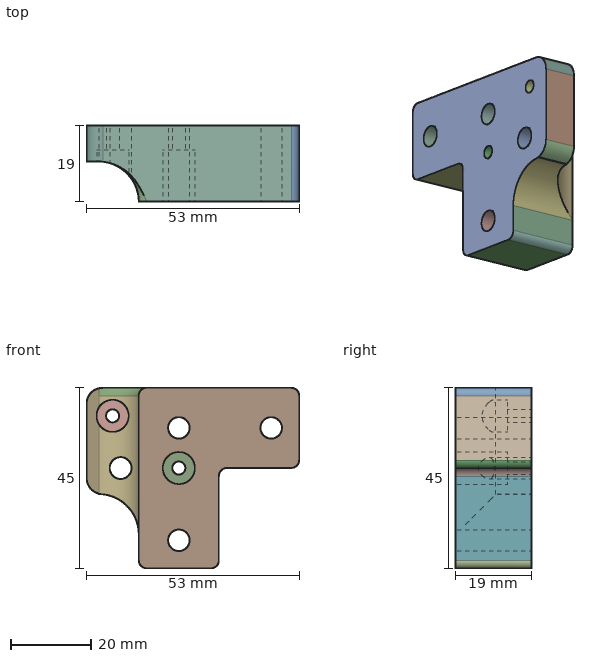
import cadquery as cq
import math


length = 53.0
depth = 19.0
height = 45.0

column_left = 13.0
column_width = 20.0
column_right = column_left + column_width
column_middle = column_left + column_width / 2
arm_height = 20.0
arm_bottom = height - arm_height
body_corner_radius = 2.0

plate_height = 26.5
plate_bottom = height - plate_height
plate_corner_radius = 4.0

blend_radius = 10.0
blend_start = column_left - blend_radius

bolt_row = height - 10.0
body_bolt_diameter = 5.3
body_bolt_centres = [
    (column_middle, bolt_row),
    (46.0, bolt_row),
    (column_middle, 7.0),
]
plate_bolt_diameter = 5.4
plate_bolt_centres = [(8.5, arm_bottom)]

screw_diameter = 3.2
screw_head_diameter = 8.0
screw_floor = 6.0
screw_head_depth = depth - screw_floor
screw_centres = [
    (6.5, height - 7.0),
    (column_middle, arm_bottom),
]

quarter_middle = math.sqrt(0.5)


def make_body():
    """Column and arm with rounded outline corners, full depth."""
    outline = [
        (column_left, 0),
        (column_right, 0),
        (column_right, arm_bottom),
        (length, arm_bottom),
        (length, height),
        (column_left, height),
    ]
    body = cq.Workplane("XZ").polyline(outline).close().extrude(-depth)
    return body.edges("|Y").fillet(body_corner_radius)


def make_plate():
    """Full-depth plate, reaching into the column, with the concave blend below it.

    The lower corner arc is cut short where the blend starts, which leaves a tiny step there.
    """
    radius = plate_corner_radius
    corner_inset = radius * (1 - quarter_middle)
    corner_end_drop = math.sqrt(radius**2 - (radius - blend_start) ** 2)
    corner_end_z = plate_bottom + radius - corner_end_drop
    blend_bottom = plate_bottom - blend_radius
    blend_reach = blend_radius * quarter_middle
    return (
        cq.Workplane("XZ")
        .moveTo(column_right, height)
        .lineTo(radius, height)
        .threePointArc((corner_inset, height - corner_inset), (0, height - radius))
        .lineTo(0, plate_bottom + radius)
        .threePointArc((corner_inset, plate_bottom + corner_inset), (blend_start, corner_end_z))
        .lineTo(blend_start, plate_bottom)
        .threePointArc(
            (blend_start + blend_reach, blend_bottom + blend_reach),
            (column_left, blend_bottom),
        )
        .lineTo(column_right, blend_bottom)
        .close()
        .extrude(-depth)
    )


def make_front_recess():
    """Space in front of the plate: a straight cove, then turned about the column's top left corner."""
    corner_x = column_left + body_corner_radius
    corner_z = height - body_corner_radius
    plate_front = blend_radius
    outer_x = -body_corner_radius
    blend_reach = blend_radius * quarter_middle
    section = (
        cq.Workplane("XY", origin=(0, 0, corner_z))
        .moveTo(column_left, 0)
        .threePointArc(
            (blend_start + blend_reach, blend_reach),
            (blend_start, plate_front),
        )
        .lineTo(outer_x, plate_front)
        .lineTo(outer_x, 0)
        .close()
    )
    straight = section.extrude(-corner_z)
    turned = section.toPending().revolve(90, (corner_x, 0, 0), (corner_x, 1, 0))
    return straight.union(turned)


def make_holes(centres, diameter, hole_depth):
    """Cylinders that start at the front face and run toward the back."""
    return cq.Workplane("XZ").pushPoints(centres).circle(diameter / 2).extrude(-hole_depth)


result = (
    make_body()
    .union(make_plate())
    .cut(make_front_recess())
    .cut(make_holes(body_bolt_centres, body_bolt_diameter, depth))
    .cut(make_holes(plate_bolt_centres, plate_bolt_diameter, depth))
    .cut(make_holes(screw_centres, screw_diameter, depth))
    .cut(make_holes(screw_centres, screw_head_diameter, screw_head_depth))
)